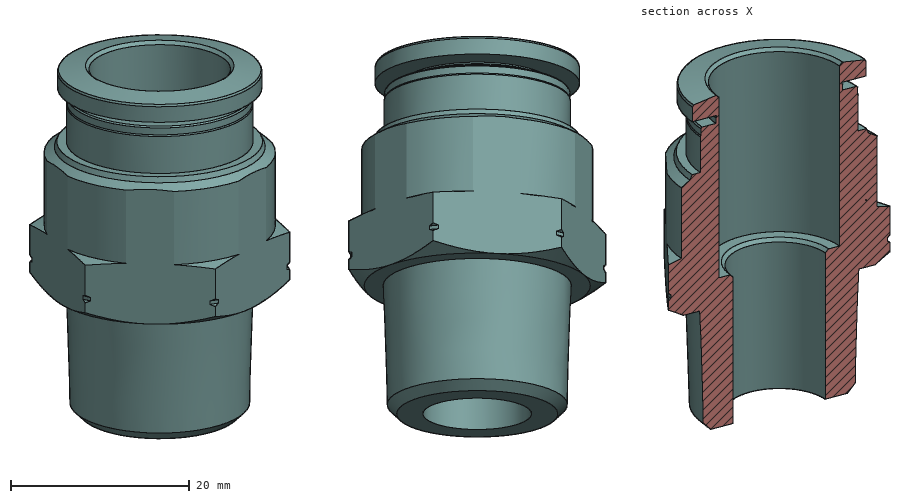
import cadquery as cq
import math

height = 41.3

stud_top_radius = 10.57
stud_tip_radius = 10.1
stud_chamfer = 1.07

across_flats = 25.4
apothem = across_flats / 2
corner_radius = apothem / math.cos(math.pi / 6)
hex_bottom = 15.05
hex_top = 22.2
hex_top_corner = 21.85
hex_bottom_corner = hex_bottom + (corner_radius - apothem) * math.tan(math.pi / 6)

turned_radius = 25.98 / 2
turned_top = 30.98
shoulder_radius = 11.85
shoulder_bottom = 31.65
shoulder_top = 32.25
shoulder_top_radius = 11.55

sleeve_radius = 21.0 / 2
sleeve_top = 37.85
ring_step = 0.1
ring_radius = sleeve_radius - ring_step
ring_bottom = 36.85
ring_bevel = 0.15
ring_chamfer = 0.15

neck_radius = 8.43
neck_step = 0.1
neck_step_height = 38.55
flange_radius = 23.0 / 2
flange_bottom = 38.75
flange_rim = 40.6
flange_rim_height = 0.25
flange_rim_inset = 0.12

tube_radius = 15.9 / 2
mouth_radius = 16.7 / 2
mouth_chamfer = mouth_radius - tube_radius
tube_stop = 18.6
passage_radius = 12.2 / 2
seat_radius = 13.0 / 2
seat_chamfer = seat_radius - passage_radius

groove_center = 17.8
groove_radius = 14.37
groove_root_height = 0.4
groove_mouth_height = 0.9


def revolve(points):
    """Turn a closed (radius, z) outline about the Z axis."""
    return cq.Workplane("XZ").polyline(points).close().revolve(360, (0, 0), (0, 1))


def make_hex_body():
    """Turned body with chamfered ends, cut to a hexagon with corners on the Y axis."""
    turned = revolve([
        (0, hex_bottom),
        (apothem, hex_bottom),
        (corner_radius, hex_bottom_corner),
        (corner_radius, hex_top_corner),
        (turned_radius, hex_top),
        (turned_radius, turned_top),
        (shoulder_radius, shoulder_bottom),
        (shoulder_top_radius, shoulder_top),
        (0, shoulder_top),
    ])
    hexagon = (
        cq.Workplane("XY", origin=(0, 0, hex_bottom))
        .polygon(6, 2 * corner_radius)
        .extrude(shoulder_top - hex_bottom)
        .rotate((0, 0, 0), (0, 0, 1), 30)
    )
    return turned.intersect(hexagon)


def make_corner_groove():
    return revolve([
        (groove_radius, groove_center - groove_root_height / 2),
        (corner_radius, groove_center - groove_mouth_height / 2),
        (corner_radius, groove_center + groove_mouth_height / 2),
        (groove_radius, groove_center + groove_root_height / 2),
    ])


def make_stud():
    return revolve([
        (0, 0),
        (stud_tip_radius - stud_chamfer, 0),
        (stud_tip_radius, stud_chamfer),
        (stud_top_radius, hex_bottom),
        (0, hex_bottom),
    ])


def make_sleeve_and_button():
    return revolve([
        (0, shoulder_top),
        (sleeve_radius, shoulder_top),
        (sleeve_radius, ring_bottom - ring_bevel),
        (ring_radius, ring_bottom),
        (ring_radius, sleeve_top - ring_chamfer),
        (ring_radius - ring_chamfer, sleeve_top),
        (neck_radius, sleeve_top),
        (neck_radius, neck_step_height),
        (neck_radius - neck_step, neck_step_height),
        (neck_radius - neck_step, flange_bottom),
        (flange_radius, flange_bottom),
        (flange_radius, flange_rim),
        (flange_radius - flange_rim_inset, flange_rim + flange_rim_height),
        (mouth_radius, height),
        (0, height),
    ])


def make_bore():
    """Tube socket from the top, stopping on a shoulder above the narrower through passage."""
    return revolve([
        (0, 0),
        (passage_radius, 0),
        (passage_radius, tube_stop - seat_chamfer),
        (seat_radius, tube_stop),
        (tube_radius, tube_stop),
        (tube_radius, height - mouth_chamfer),
        (mouth_radius, height),
        (0, height),
    ])


body = make_hex_body().cut(make_corner_groove())
result = body.union(make_stud()).union(make_sleeve_and_button()).cut(make_bore())